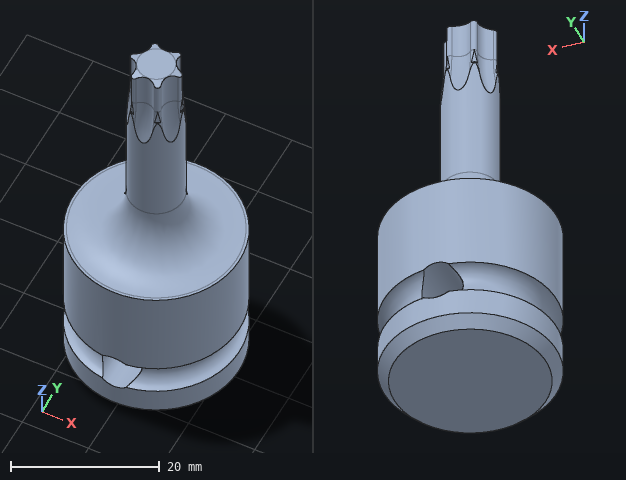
import cadquery as cq
import math

total_height = 60.0

body_diameter = 25.0
body_radius = body_diameter / 2
body_height = 25.0
rim_width = 0.4
base_chamfer_height = 1.6
base_chamfer_width = 1.5

groove_height = 8.05
groove_depth = 2.05
groove_width = 4.8
pin_hole_radius = 3.0

shaft_diameter = 8.1
shaft_radius = shaft_diameter / 2
shaft_top = 52.3

lobe_count = 6
tip_radius = 3.9
valley_radius = 2.7
lobe_radius = 0.5
flute_straight_bottom = 54.55
flute_runout_bottom = 47.65
tip_flat_radius = 2.65
tip_chamfer_height = 0.35
clearance = 0.6


def turned_blank():
    """Revolve the body, concave shoulder, shaft and tip in one profile."""
    shoulder_radius = body_radius - rim_width - shaft_radius
    shoulder_top = body_height + shoulder_radius
    diagonal = math.sqrt(0.5)
    shoulder_mid = (
        shaft_radius + shoulder_radius * (1 - diagonal),
        shoulder_top - shoulder_radius * diagonal,
    )
    profile = (
        cq.Workplane("XZ")
        .lineTo(body_radius - base_chamfer_width, 0)
        .lineTo(body_radius, base_chamfer_height)
        .lineTo(body_radius, body_height)
        .lineTo(body_radius - rim_width, body_height)
        .threePointArc(shoulder_mid, (shaft_radius, shoulder_top))
        .lineTo(shaft_radius, shaft_top)
        .lineTo(tip_radius, shaft_top)
        .lineTo(tip_radius, total_height - tip_chamfer_height)
        .lineTo(tip_flat_radius, total_height)
        .lineTo(0, total_height)
        .close()
    )
    return profile.revolve(360, (0, 0), (0, 1))


def ring_groove():
    """Circular-arc groove around the body."""
    lower_edge = groove_height - groove_width / 2
    upper_edge = groove_height + groove_width / 2
    profile = (
        cq.Workplane("XZ")
        .moveTo(body_radius, lower_edge)
        .threePointArc((body_radius - groove_depth, groove_height), (body_radius, upper_edge))
        .lineTo(body_radius + clearance, upper_edge)
        .lineTo(body_radius + clearance, lower_edge)
        .close()
    )
    return profile.revolve(360, (0, 0), (0, 1))


def pin_hole():
    """Cylinder along Y that crosses the whole body."""
    return (
        cq.Workplane("XZ")
        .center(0, groove_height)
        .circle(pin_hole_radius)
        .extrude(body_radius + clearance, both=True)
    )


def flute():
    """Flute on the +Y side: straight at the tip, then curving out of the shaft."""
    half_pitch = math.pi / lobe_count
    lobe_center_radius = tip_radius - lobe_radius
    lobe_x = lobe_center_radius * math.sin(half_pitch)
    lobe_y = lobe_center_radius * math.cos(half_pitch)
    rise = lobe_y - valley_radius
    flute_radius = (rise**2 + lobe_x**2 - lobe_radius**2) / (2 * (rise + lobe_radius))
    flute_y = valley_radius + flute_radius
    touch = flute_radius / (flute_radius + lobe_radius)
    touch_x = lobe_x * touch
    touch_y = flute_y + (lobe_y - flute_y) * touch
    crest_x = tip_radius * math.sin(half_pitch)
    crest_y = tip_radius * math.cos(half_pitch)
    touch_angle = math.atan2(touch_y - lobe_y, touch_x - lobe_x)
    crest_angle = math.pi / 2 - half_pitch
    mid_angle = (touch_angle % (2 * math.pi) + crest_angle) / 2
    lobe_mid_x = lobe_x + lobe_radius * math.cos(mid_angle)
    lobe_mid_y = lobe_y + lobe_radius * math.sin(mid_angle)

    outer_y = tip_radius + clearance
    start_height = total_height + clearance
    runout_drop = flute_straight_bottom - flute_runout_bottom
    runout_rise = shaft_radius - valley_radius
    runout_radius = (runout_drop**2 + runout_rise**2) / (2 * runout_rise)
    runout_angle = math.degrees(math.asin(runout_drop / runout_radius))

    def section(height):
        return (
            cq.Workplane("XY", origin=(0, 0, height))
            .moveTo(-crest_x, crest_y)
            .threePointArc((-lobe_mid_x, lobe_mid_y), (-touch_x, touch_y))
            .threePointArc((0, valley_radius), (touch_x, touch_y))
            .threePointArc((lobe_mid_x, lobe_mid_y), (crest_x, crest_y))
            .lineTo(crest_x, outer_y)
            .lineTo(-crest_x, outer_y)
            .close()
        )

    straight = section(flute_straight_bottom).extrude(start_height - flute_straight_bottom)
    bend_y = valley_radius + runout_radius
    runout = section(flute_straight_bottom).revolve(runout_angle, (0, bend_y), (1, bend_y))
    return straight.union(runout)


result = turned_blank().cut(ring_groove()).cut(pin_hole())
flute_cutter = flute()
for index in range(lobe_count):
    angle = index * 360 / lobe_count
    result = result.cut(flute_cutter.rotate((0, 0, 0), (0, 0, 1), angle))